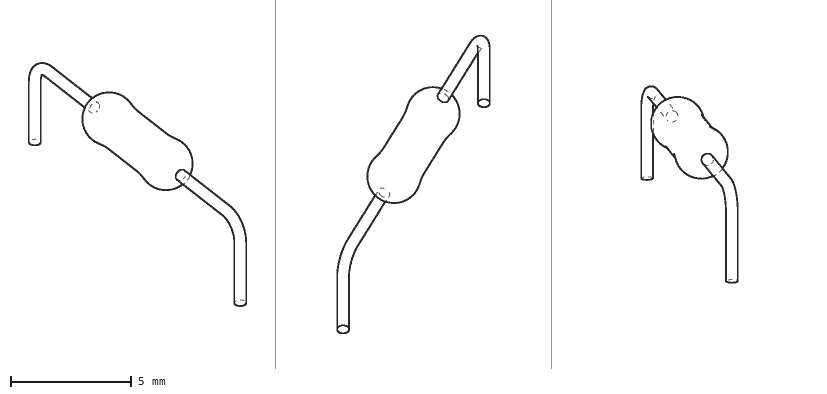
import cadquery as cq
import math

overall_length = 15.74
wire_diameter = 0.5
bend_radius = 1.0
lead_drop = 4.0

cap_diameter = 2.24
waist_diameter = 2.0
cap_center_x = 2.11
waist_half_length = 1.02

lead_x = (overall_length - wire_diameter) / 2
cap_radius = cap_diameter / 2
waist_radius = waist_diameter / 2


def make_wire():
    """Sweep the round wire along its bent centreline, from tip to tip."""
    bend_center_x = lead_x - bend_radius
    bend_mid_offset = bend_radius * math.sqrt(0.5)
    bend_mid_x = bend_center_x + bend_mid_offset
    bend_mid_z = bend_mid_offset - bend_radius
    path = (
        cq.Workplane("XZ")
        .moveTo(-lead_x, -lead_drop)
        .lineTo(-lead_x, -bend_radius)
        .threePointArc((-bend_mid_x, bend_mid_z), (-bend_center_x, 0))
        .lineTo(bend_center_x, 0)
        .threePointArc((bend_mid_x, bend_mid_z), (lead_x, -bend_radius))
        .lineTo(lead_x, -lead_drop)
    )
    tip = cq.Workplane("XY", origin=(-lead_x, 0, -lead_drop))
    return tip.circle(wire_diameter / 2).sweep(path)


def make_body():
    """Revolve the body profile about X; concave arcs blend the caps into the waist."""
    run = cap_center_x - waist_half_length
    blend_radius = (run**2 + waist_radius**2 - cap_radius**2) / (2 * (cap_radius - waist_radius))
    blend_center_r = waist_radius + blend_radius
    blend_angle = math.atan2(run, blend_center_r)

    seam_x = cap_center_x - cap_radius * math.sin(blend_angle)
    seam_r = cap_radius * math.cos(blend_angle)
    blend_mid_x = waist_half_length + blend_radius * math.sin(blend_angle / 2)
    blend_mid_r = blend_center_r - blend_radius * math.cos(blend_angle / 2)
    cap_mid_x = cap_center_x + cap_radius * math.sqrt(0.5)
    cap_mid_r = cap_radius * math.sqrt(0.5)
    end_x = cap_center_x + cap_radius

    profile = (
        cq.Workplane("XZ")
        .moveTo(-end_x, 0)
        .threePointArc((-cap_mid_x, cap_mid_r), (-seam_x, seam_r))
        .threePointArc((-blend_mid_x, blend_mid_r), (-waist_half_length, waist_radius))
        .lineTo(waist_half_length, waist_radius)
        .threePointArc((blend_mid_x, blend_mid_r), (seam_x, seam_r))
        .threePointArc((cap_mid_x, cap_mid_r), (end_x, 0))
        .close()
    )
    return profile.revolve(360, (0, 0, 0), (1, 0, 0))


result = make_body().union(make_wire())